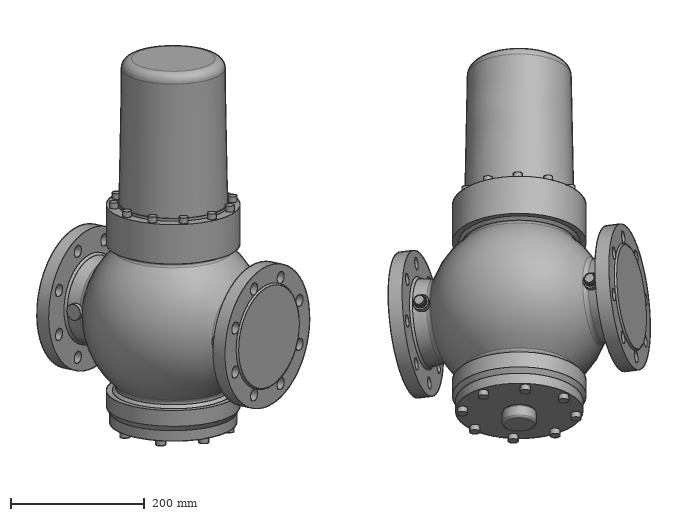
import cadquery as cq
import math


overall_height = 592.0
overall_length = 350.0

ball_radius = 136.0
stem_neck_radius = 86.5
stem_neck_flare = 5.0
stem_blend_radius = 5.0

flange_radius = 110.0
flange_thickness = 22.0
raised_face_height = 3.0
raised_face_radius = 79.0
raised_face_base_radius = 81.0
flange_hole_count = 8
flange_hole_diameter = 18.5
flange_hole_circle_radius = 90.0
pipe_neck_ball_x = 106.5
pipe_neck_ball_radius = 60.5
pipe_neck_root_radius = 67.0
pipe_root_flare = 3.5
pipe_blend_radius = 7.0

boss_x = 132.5
boss_radius = 12.5
boss_reach = 70.5
plug_collar_radius = 9.5
plug_collar_reach = 74.5
plug_head_radius = 7.5
plug_head_reach = 80.0

bonnet_radius = 100.0
bonnet_bottom = 113.5
bonnet_top = 175.0
bonnet_bolt_count = 12
bonnet_bolt_diameter = 13.5
bonnet_bolt_circle_radius = 90.0
bolt_head_height = 9.0

cap_rim_radius = 83.0
cap_rim_height = 4.0
cap_base_radius = 81.5
cap_shoulder_radius = 77.5
cap_edge_radius = 15.5
cap_top = 404.0

bottom_flange_radius = 100.0
bottom_flange_top = -116.0
bottom_flange_bottom = -141.0
cover_radius = 95.5
cover_shoulder = -149.0
cover_bottom = -166.0
cover_bolt_count = 8
cover_bolt_diameter = 15.5
cover_bolt_circle_radius = 85.0
drain_radius = 25.5
drain_edge_radius = 3.5

joint_margin = 2.5

flange_face_x = overall_length / 2
flange_front_x = flange_face_x - raised_face_height
flange_back_x = flange_front_x - flange_thickness
drain_bottom = cap_top - overall_height


def upright_cylinder(radius, z_low, z_high):
    """Cylinder on the stem axis between two heights."""
    return cq.Workplane("XY", origin=(0, 0, z_low)).circle(radius).extrude(z_high - z_low)


def bolt_ring(count, diameter, circle_radius, z_low):
    """Ring of cylindrical bolt heads straddling the X and Y axes."""
    return (
        cq.Workplane("XY", origin=(0, 0, z_low))
        .polarArray(circle_radius, 180 / count, 360, count)
        .circle(diameter / 2)
        .extrude(bolt_head_height)
    )


def make_ball_with_stem_necks():
    """Ball blended into necks that flare out to the bonnet and bottom flange."""
    flare_radius = stem_neck_radius + stem_neck_flare
    stem_profile = [
        (0, bottom_flange_top),
        (flare_radius, bottom_flange_top),
        (stem_neck_radius, bottom_flange_top + stem_neck_flare),
        (stem_neck_radius, bonnet_bottom - stem_neck_flare),
        (flare_radius, bonnet_bottom),
        (0, bonnet_bottom),
    ]
    stem = cq.Workplane("XZ").polyline(stem_profile).close().revolve(360, (0, 0), (0, 1))
    ball = cq.Workplane("XY").sphere(ball_radius)
    ball = ball.intersect(upright_cylinder(ball_radius, bottom_flange_top, bonnet_bottom))
    body = ball.union(stem)
    joint_height = math.sqrt(ball_radius**2 - stem_neck_radius**2)
    for side in (-1, 1):
        joint_edges = cq.selectors.BoxSelector(
            (-ball_radius, -ball_radius, side * joint_height - joint_margin),
            (ball_radius, ball_radius, side * joint_height + joint_margin),
        )
        body = body.edges(joint_edges).fillet(stem_blend_radius)
    return body


def make_pipe_neck():
    """Tapered neck on the +X side, flaring out where it meets the flange."""
    profile = [
        (pipe_neck_ball_x, 0),
        (pipe_neck_ball_x, pipe_neck_ball_radius),
        (flange_back_x - pipe_root_flare, pipe_neck_root_radius),
        (flange_back_x, pipe_neck_root_radius + pipe_root_flare),
        (flange_back_x, 0),
    ]
    return cq.Workplane("XZ").polyline(profile).close().revolve(360, (0, 0), (1, 0))


def make_body():
    """Ball with a pipe neck blended into each end of the flow axis."""
    neck = make_pipe_neck()
    body = make_ball_with_stem_necks().union(neck).union(neck.mirror("YZ"))
    joint_x = math.sqrt(ball_radius**2 - pipe_neck_ball_radius**2)
    for side in (-1, 1):
        joint_edges = cq.selectors.BoxSelector(
            (side * joint_x - joint_margin, -ball_radius, -ball_radius),
            (side * joint_x + joint_margin, ball_radius, ball_radius),
        )
        body = body.edges(joint_edges).fillet(pipe_blend_radius)
    return body


def make_pipe_flange():
    """Drilled +X flange with a raised face on a tapered step."""
    profile = [
        (flange_back_x, 0),
        (flange_back_x, flange_radius),
        (flange_front_x, flange_radius),
        (flange_front_x, raised_face_base_radius),
        (flange_face_x, raised_face_radius),
        (flange_face_x, 0),
    ]
    flange = cq.Workplane("XZ").polyline(profile).close().revolve(360, (0, 0), (1, 0))
    holes = (
        cq.Workplane("YZ", origin=(flange_back_x, 0, 0))
        .polarArray(flange_hole_circle_radius, 180 / flange_hole_count, 360, flange_hole_count)
        .circle(flange_hole_diameter / 2)
        .extrude(flange_face_x - flange_back_x)
    )
    return flange.cut(holes)


def make_tappings():
    """Boss through the +X pipe neck along Y, with a stepped plug at its +Y end."""
    start = cq.Workplane("XZ", origin=(boss_x, 0, 0))
    boss = start.circle(boss_radius).extrude(boss_reach, both=True)
    collar = start.circle(plug_collar_radius).extrude(-plug_collar_reach)
    head = start.circle(plug_head_radius).extrude(-plug_head_reach)
    return boss.union(collar).union(head)


def make_bonnet():
    """Round bonnet with a ring of bolt heads on its top face."""
    bonnet = upright_cylinder(bonnet_radius, bonnet_bottom, bonnet_top)
    bolts = bolt_ring(bonnet_bolt_count, bonnet_bolt_diameter, bonnet_bolt_circle_radius, bonnet_top)
    return bonnet.union(bolts)


def make_cap():
    """Tapered actuator cap with a rounded top edge, standing on a low rim."""
    rim_top = bonnet_top + cap_rim_height
    profile = [
        (0, bonnet_top),
        (cap_rim_radius, bonnet_top),
        (cap_rim_radius, rim_top),
        (cap_base_radius, rim_top),
        (cap_shoulder_radius, cap_top),
        (0, cap_top),
    ]
    cap = cq.Workplane("XZ").polyline(profile).close().revolve(360, (0, 0), (0, 1))
    return cap.faces(">Z").edges().fillet(cap_edge_radius)


def make_bottom_end():
    """Bottom flange tapering to the cover, with cover bolts and a round-edged drain boss."""
    profile = [
        (0, bottom_flange_top),
        (bottom_flange_radius, bottom_flange_top),
        (bottom_flange_radius, bottom_flange_bottom),
        (cover_radius, cover_shoulder),
        (cover_radius, cover_bottom),
        (0, cover_bottom),
    ]
    cover = cq.Workplane("XZ").polyline(profile).close().revolve(360, (0, 0), (0, 1))
    bolts = bolt_ring(
        cover_bolt_count, cover_bolt_diameter, cover_bolt_circle_radius, cover_bottom - bolt_head_height
    )
    drain = upright_cylinder(drain_radius, drain_bottom, cover_bottom)
    drain = drain.faces("<Z or >Z").edges().fillet(drain_edge_radius)
    return cover.union(bolts).union(drain)


pipe_end = make_pipe_flange().union(make_tappings())

result = (
    make_body()
    .union(pipe_end)
    .union(pipe_end.mirror("YZ"))
    .union(make_bonnet())
    .union(make_cap())
    .union(make_bottom_end())
)